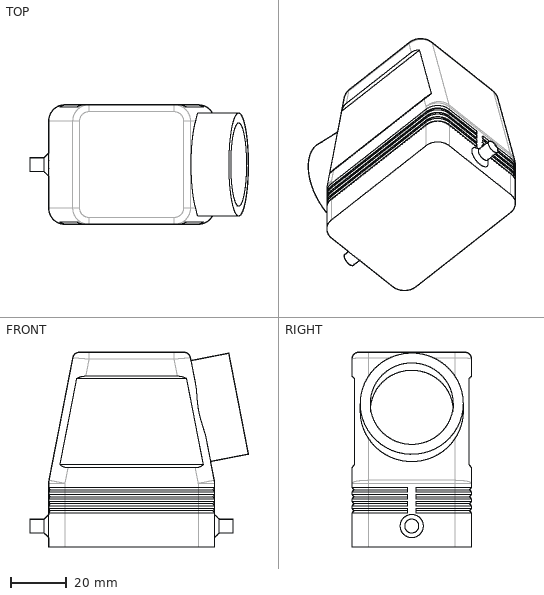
import cadquery as cq
import math

BODY_LENGTH = 59.6
BODY_WIDTH = 43.0
BODY_HEIGHT = 70.0
KNEE_HEIGHT = 23.4
LEAN_ANGLE = 11.0
KNEE_RADIUS = 6.3
CORNER_RADIUS = 5.9
TOP_RADIUS = 2.5

RECESS_BOTTOM = 28.5
RECESS_TOP = 61.35
RECESS_DEPTH = 0.9
RECESS_SLOPE_BOTTOM = 1.1
RECESS_SLOPE_TOP = 0.9

GROOVE_COUNT = 4
LOWEST_GROOVE = 13.0
GROOVE_PITCH = 2.5
GROOVE_HEIGHT = 1.5
GROOVE_DEPTH = 0.7
WEB_WIDTH = 2.9

PIN_TIP = 36.5
PIN_HEIGHT = 7.5
PIN_RADIUS = 2.5
PIN_ROOT_RADIUS = 4.15

TUBE_RADIUS = 18.5
BORE_RADIUS = 14.9
TUBE_REACH = 42.0
TUBE_CENTER_HEIGHT = 51.5
TUBE_EMBED = 6.3

MARGIN = 0.8

lean = math.radians(LEAN_ANGLE)
half_length = BODY_LENGTH / 2
half_width = BODY_WIDTH / 2
half_top = half_length - (BODY_HEIGHT - KNEE_HEIGHT) * math.tan(lean)


def make_body():
    body = (
        cq.Workplane("XZ")
        .polyline([
            (-half_length, 0),
            (half_length, 0),
            (half_length, KNEE_HEIGHT),
            (half_top, BODY_HEIGHT),
            (-half_top, BODY_HEIGHT),
            (-half_length, KNEE_HEIGHT),
        ])
        .close()
        .extrude(half_width, both=True)
    )
    knee_edges = cq.selectors.BoxSelector(
        (-BODY_LENGTH, -BODY_WIDTH, KNEE_HEIGHT - MARGIN),
        (BODY_LENGTH, BODY_WIDTH, KNEE_HEIGHT + MARGIN),
    )
    body = body.edges("|Y").edges(knee_edges).fillet(KNEE_RADIUS)
    body = body.faces("<Y or >Y").edges("not #Z").fillet(CORNER_RADIUS)
    return body.faces(">Z").edges().fillet(TOP_RADIUS)


def make_recess(side):
    """Cutter for the recess on the Y face given by side (-1 or 1)."""
    face = side * half_width
    floor = face - side * RECESS_DEPTH
    return (
        cq.Workplane("YZ")
        .polyline([
            (face, RECESS_BOTTOM),
            (floor, RECESS_BOTTOM + RECESS_SLOPE_BOTTOM),
            (floor, RECESS_TOP - RECESS_SLOPE_TOP),
            (face, RECESS_TOP),
        ])
        .close()
        .extrude(BODY_LENGTH, both=True)
    )


def make_groove(height):
    """V-shaped ring cutter around the body, split by the two webs."""
    def outline(z, inset):
        return (
            cq.Sketch()
            .rect(BODY_LENGTH - 2 * inset, BODY_WIDTH - 2 * inset)
            .vertices()
            .fillet(CORNER_RADIUS - inset)
            .moved(cq.Location(cq.Vector(0, 0, z)))
        )

    bottom = outline(height - GROOVE_HEIGHT / 2, 0)
    middle = outline(height, GROOVE_DEPTH)
    top = outline(height + GROOVE_HEIGHT / 2, 0)
    lower_core = cq.Workplane("XY").placeSketch(bottom, middle).loft()
    upper_core = cq.Workplane("XY").placeSketch(middle, top).loft()
    web = cq.Workplane("XY").box(2 * BODY_LENGTH, WEB_WIDTH, 2 * GROOVE_HEIGHT)
    return (
        cq.Workplane("XY")
        .box(BODY_LENGTH + 2 * MARGIN, BODY_WIDTH + 2 * MARGIN, GROOVE_HEIGHT)
        .translate((0, 0, height))
        .cut(lower_core)
        .cut(upper_core)
        .cut(web.translate((0, 0, height)))
    )


def make_pins():
    """Both pins and their conical roots, turned about one X-directed axis."""
    root_tip = half_length + PIN_ROOT_RADIUS - PIN_RADIUS
    return (
        cq.Workplane("XY")
        .polyline([
            (-PIN_TIP, 0),
            (-PIN_TIP, PIN_RADIUS),
            (-root_tip, PIN_RADIUS),
            (-half_length, PIN_ROOT_RADIUS),
            (half_length, PIN_ROOT_RADIUS),
            (root_tip, PIN_RADIUS),
            (PIN_TIP, PIN_RADIUS),
            (PIN_TIP, 0),
        ])
        .close()
        .revolve(360, (0, 0, 0), (1, 0, 0))
        .translate((0, 0, PIN_HEIGHT))
    )


def make_tube():
    """The entry tube and its bore, which ends at the leaning face of the body."""
    mouth_x = TUBE_REACH - TUBE_RADIUS * math.sin(lean)
    face_x = half_length - (TUBE_CENTER_HEIGHT - KNEE_HEIGHT) * math.tan(lean)
    length = (mouth_x - face_x) * math.cos(lean)
    mouth_plane = cq.Plane(
        origin=(mouth_x, 0, TUBE_CENTER_HEIGHT),
        xDir=(0, 1, 0),
        normal=(math.cos(lean), 0, math.sin(lean)),
    )
    tube = cq.Workplane(mouth_plane).circle(TUBE_RADIUS).extrude(-length - TUBE_EMBED)
    bore = cq.Workplane(mouth_plane).circle(BORE_RADIUS).extrude(-length)
    return tube, bore


tube, bore = make_tube()
result = make_body()
for side in (-1, 1):
    result = result.cut(make_recess(side))
for index in range(GROOVE_COUNT):
    result = result.cut(make_groove(LOWEST_GROOVE + index * GROOVE_PITCH))
result = result.union(make_pins()).union(tube).cut(bore)